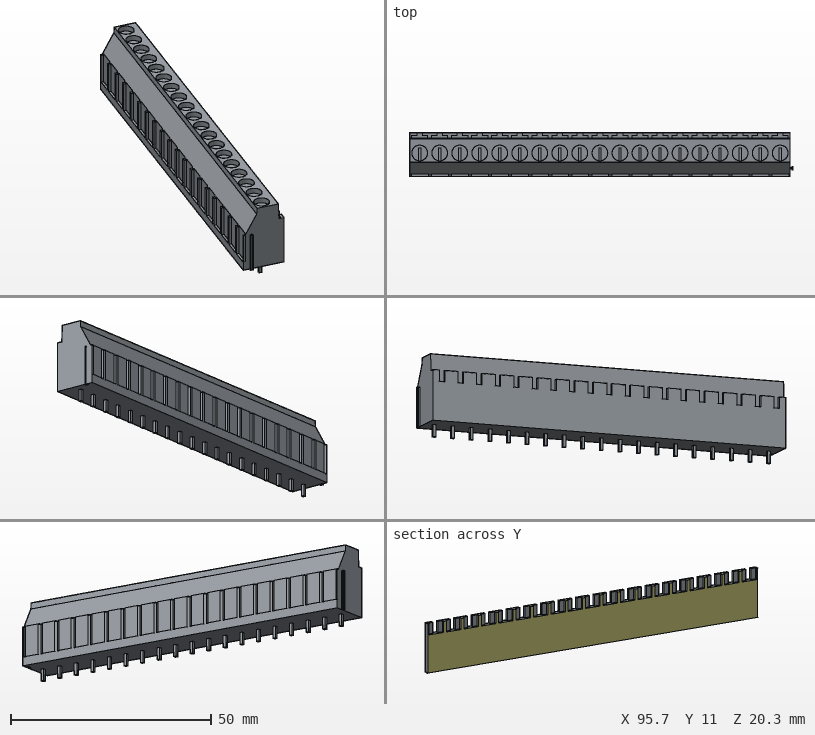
import cadquery as cq

pole_count = 19
overall_length = 95.65
body_length = 95.0
pole_pitch = body_length / pole_count
body_depth = 11.0
body_height = 17.2

left_x = -overall_length / 2
right_x = left_x + body_length
front_y = -body_depth / 2
back_y = body_depth / 2
pole_centers = [left_x + (i + 0.5) * pole_pitch for i in range(pole_count)]

shelf_height = 10.0
shelf_width = 0.5
chamfer_top = 15.6
top_front_y = back_y - 7.3
front_wall_lean = 0.11
ledge_height = 12.9
ledge_width = 1.3
back_wall_lean = 0.2

panel_width = 4.2
panel_bottom = 2.3
panel_depth = 0.7
panel_offset = 0.1

well_diameter = 3.9
well_depth = 1.4
well_y = back_y - 5.1
screw_slot_width = 0.6
screw_slot_depth = 0.8
screw_slot_inset = 0.8

marker_width = 4.0
marker_neck_width = 1.4
marker_wall = 0.8
marker_depth = 2.9

pin_width = 0.8
pin_length = 3.1
pin_y = 0.0

coupling_y = back_y - 8.9
coupling_height = shelf_height
coupling_reach = overall_length - body_length
neck_length = 0.5
neck_width = 0.4
head_width = 0.9


def box(x0, x1, y0, y1, z0, z1):
    return cq.Workplane("XY").box(x1 - x0, y1 - y0, z1 - z0, centered=False).translate((x0, y0, z0))


def housing():
    return (
        cq.Workplane("YZ", origin=(left_x, 0, 0))
        .moveTo(front_y, 0)
        .lineTo(front_y, shelf_height)
        .lineTo(front_y + shelf_width, shelf_height)
        .lineTo(top_front_y - front_wall_lean, chamfer_top)
        .lineTo(top_front_y, body_height)
        .lineTo(back_y - ledge_width - back_wall_lean, body_height)
        .lineTo(back_y - ledge_width, ledge_height)
        .lineTo(back_y, ledge_height)
        .lineTo(back_y, 0)
        .close()
        .extrude(body_length)
    )


def panel(x):
    left = x + panel_offset - panel_width / 2
    return box(left, left + panel_width, front_y, front_y + panel_depth, panel_bottom, chamfer_top)


def screw_well(x):
    floor = body_height - well_depth
    radius = well_diameter / 2
    well = cq.Workplane("XY", origin=(x, well_y, floor)).circle(radius).extrude(well_depth)
    half_slot = screw_slot_width / 2
    slot_rear_y = well_y + radius - screw_slot_inset
    slot = box(
        x - half_slot, x + half_slot, well_y - radius, slot_rear_y, floor - screw_slot_depth, floor
    )
    return well.union(slot)


def marker_slot(x):
    floor = ledge_height - marker_depth
    wide_back_y = back_y - marker_wall
    half = marker_width / 2
    neck_half = marker_neck_width / 2
    wide = box(x - half, x + half, back_y - ledge_width, wide_back_y, floor, ledge_height)
    neck = box(x - neck_half, x + neck_half, wide_back_y, back_y, floor, ledge_height)
    return wide.union(neck)


def pin(x):
    return cq.Workplane("XY", origin=(x, pin_y, 0)).rect(pin_width, pin_width).extrude(-pin_length)


def coupling(end_x):
    def slab(x0, x1, width):
        return box(x0, x1, coupling_y - width / 2, coupling_y + width / 2, 0, coupling_height)

    head_x = end_x + neck_length
    return slab(end_x, head_x, neck_width).union(slab(head_x, end_x + coupling_reach, head_width))


def every_pole(feature):
    return cq.Workplane(cq.Compound.makeCompound([feature(x).val() for x in pole_centers]))


result = (
    housing()
    .cut(coupling(left_x))
    .cut(every_pole(panel))
    .cut(every_pole(screw_well))
    .cut(every_pole(marker_slot))
    .union(coupling(right_x))
    .union(every_pole(pin))
)